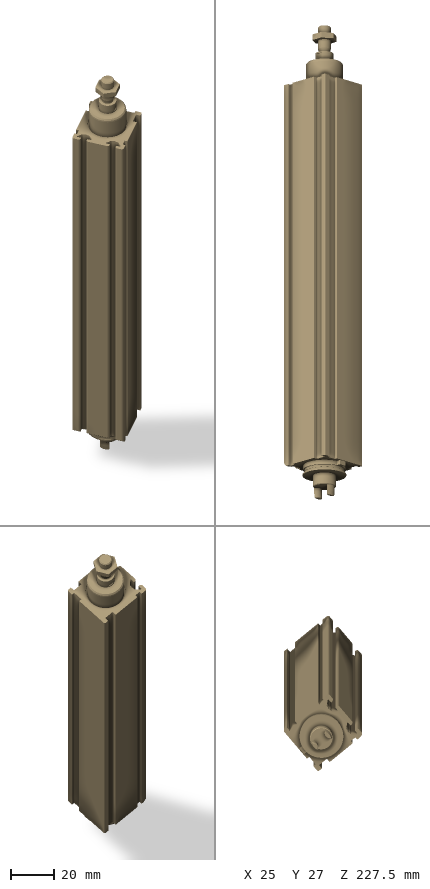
import cadquery as cq
import math


TOTAL_HEIGHT = 227.5
COUPLING_SHOULDER_Z = 4.8
COUPLING_TOP_Z = 10.2
RETAINER_TOP_Z = 11.8
FLANGE_RIM_BOTTOM_Z = 13.0
HOUSING_BOTTOM_Z = 15.0
HOUSING_TOP_Z = 199.5
CAP_TOP_Z = 209.8
ROD_SHOULDER_Z = 214.5
THREAD_BOTTOM_Z = 215.2
NUT_BOTTOM_Z = 220.7
NUT_HEIGHT = 2.7

HOUSING_WIDTH = 25.0
RAIL_HEIGHT = 2.0
BACK_Y = HOUSING_WIDTH / 2
FRONT_Y = -HOUSING_WIDTH / 2 - RAIL_HEIGHT
FRONT_EDGE_RADIUS = 1.0
BACK_EDGE_RADIUS = 0.61

SIDE_WIDE_GROOVE_Y = (5.5, 10.2)
SIDE_WIDE_GROOVE_DEPTH = 2.0
SIDE_NARROW_GROOVE_Y = (-11.1, -8.5)
SIDE_NARROW_GROOVE_DEPTH = 1.4
BACK_GROOVE_X = (4.5, 9.3)
BACK_GROOVE_DEPTH = 1.4

SLOT_CENTER_X = 7.0
SLOT_MOUTH_WIDTH = 3.0
SLOT_WIDTH = 7.0
SLOT_ROOF_WIDTH = 3.5
SLOT_LIP = 1.5
SLOT_WALL = 0.5
SLOT_DEPTH = 4.0
SLOT_CREASE_WIDTH = 1.4
SLOT_CREASE_DEPTH = 0.2

CAP_DIAMETER = 17.3
CAP_BEVEL_HEIGHT = 0.7
CAP_LOWER_BEVEL_WIDTH = 0.2
CAP_UPPER_BEVEL_WIDTH = 0.5
CAP_SEAT_DEPTH = 4.5
CAP_SEAT_Z = HOUSING_TOP_Z - CAP_SEAT_DEPTH
CAP_GAP_DIAMETER = 18.5
CAP_GAP_DEPTH = 1.0
WIPER_DIAMETER = 8.6
WIPER_DEPTH = 1.0

ROD_DIAMETER = 8.2
ROD_COLLAR_HEIGHT = 0.7
ROD_FLATS = 7.3
ROD_FLAT_LENGTH = 3.9
NECK_DIAMETER = 5.2
THREAD_DIAMETER = 6.0
THREAD_CHAMFER = 0.5
THREAD_RUNOUT = 1.4
NUT_SIDES = 6
NUT_FLATS = 10.0
NUT_BEVEL_DIAMETER = 10.5
NUT_BEVEL_HEIGHT = 0.11

FLANGE_DIAMETER = 19.8
HUB_DIAMETER = 18.7
TAB_WIDTH = 3.5
TAB_REACH_Y = 11.8
RETAINER_DIAMETER = 20.2
RETAINER_CHAMFER = 1.0

COUPLING_DIAMETER = 10.7
COUPLING_CHAMFER = 0.35
CLAW_DIAMETER = 9.8
CLAW_GAP = 5.5
CLAW_ROUND = 5.2
CLAW_TAPER = 0.2
CLAW_TAPER_HEIGHT = 2.0
CLAW_TIP_CHAMFER = 0.35


def cylinder(diameter, bottom, top):
    return cq.Workplane("XY").workplane(offset=bottom).circle(diameter / 2).extrude(top - bottom)


def block(x_range, y_range, z_range):
    """Box between the given lower and upper limits on each axis."""
    size = [high - low for low, high in (x_range, y_range, z_range)]
    corner = (x_range[0], y_range[0], z_range[0])
    return cq.Workplane("XY").box(*size, centered=False).translate(corner)


def side_groove(side, y_range, depth):
    """Full-length groove in the left (side = -1) or right (side = 1) face."""
    wall = side * HOUSING_WIDTH / 2
    floor = wall - side * depth
    return block((min(wall, floor), max(wall, floor)), y_range, (HOUSING_BOTTOM_Z, HOUSING_TOP_Z))


def sensor_slot(center_x):
    """Full-length T-slot with sloped shoulders and a shallow crease in its roof, open on the front."""
    lip_y = FRONT_Y + SLOT_LIP
    wall_y = lip_y + SLOT_WALL
    roof_y = FRONT_Y + SLOT_DEPTH
    half_mouth = SLOT_MOUTH_WIDTH / 2
    half_slot = SLOT_WIDTH / 2
    half_roof = SLOT_ROOF_WIDTH / 2
    half_crease = SLOT_CREASE_WIDTH / 2
    crease_y = roof_y + SLOT_CREASE_DEPTH
    left_half = [
        (-half_mouth, FRONT_Y),
        (-half_mouth, lip_y),
        (-half_slot, lip_y),
        (-half_slot, wall_y),
        (-half_roof, roof_y),
        (-half_crease, roof_y),
        (-half_crease, crease_y),
    ]
    right_half = [(-x, y) for x, y in reversed(left_half)]
    slot = cq.Workplane("XY").workplane(offset=HOUSING_BOTTOM_Z).center(center_x, 0)
    return slot.polyline(left_half + right_half).close().extrude(HOUSING_TOP_Z - HOUSING_BOTTOM_Z)


def front_bevel():
    """Wedge that slants the lower end of the slotted side."""
    return (
        cq.Workplane("YZ")
        .polyline([
            (FRONT_Y, HOUSING_BOTTOM_Z),
            (FRONT_Y + RAIL_HEIGHT, HOUSING_BOTTOM_Z),
            (FRONT_Y, HOUSING_BOTTOM_Z + RAIL_HEIGHT),
        ])
        .close().extrude(HOUSING_WIDTH / 2, both=True)
    )


def make_housing():
    half_width = HOUSING_WIDTH / 2
    housing = block((-half_width, half_width), (FRONT_Y, BACK_Y), (HOUSING_BOTTOM_Z, HOUSING_TOP_Z))
    for side in (-1, 1):
        housing = housing.cut(side_groove(side, SIDE_WIDE_GROOVE_Y, SIDE_WIDE_GROOVE_DEPTH))
        housing = housing.cut(side_groove(side, SIDE_NARROW_GROOVE_Y, SIDE_NARROW_GROOVE_DEPTH))
        housing = housing.cut(sensor_slot(side * SLOT_CENTER_X))

    housing = housing.edges("|Z and <Y").fillet(FRONT_EDGE_RADIUS)
    housing = housing.edges("|Z and >Y").fillet(BACK_EDGE_RADIUS)
    housing = housing.cut(front_bevel())
    housing = housing.cut(
        block(BACK_GROOVE_X, (BACK_Y - BACK_GROOVE_DEPTH, BACK_Y), (HOUSING_BOTTOM_Z, HOUSING_TOP_Z))
    )

    housing = housing.cut(cylinder(CAP_DIAMETER, CAP_SEAT_Z, HOUSING_TOP_Z))
    return housing.cut(cylinder(CAP_GAP_DIAMETER, HOUSING_TOP_Z - CAP_GAP_DEPTH, HOUSING_TOP_Z))


def make_bearing_cap():
    cap = cylinder(CAP_DIAMETER, CAP_SEAT_Z, CAP_TOP_Z)
    cap = cap.faces(">Z").chamfer(2 * CAP_BEVEL_HEIGHT, CAP_LOWER_BEVEL_WIDTH)
    cap = cap.faces(">Z").chamfer(CAP_BEVEL_HEIGHT, CAP_UPPER_BEVEL_WIDTH)
    cap = cap.cut(cylinder(ROD_DIAMETER, CAP_SEAT_Z, CAP_TOP_Z))
    return cap.cut(cylinder(WIPER_DIAMETER, CAP_TOP_Z - WIPER_DEPTH, CAP_TOP_Z))


def make_piston_rod():
    rod = cylinder(ROD_DIAMETER, CAP_SEAT_Z, ROD_SHOULDER_Z)

    flat_top = ROD_SHOULDER_Z - ROD_COLLAR_HEIGHT
    flat_bottom = flat_top - ROD_FLAT_LENGTH
    between_flats = block(
        (-ROD_FLATS / 2, ROD_FLATS / 2), (-ROD_DIAMETER, ROD_DIAMETER), (flat_bottom, flat_top)
    )
    rod = rod.cut(cylinder(ROD_DIAMETER, flat_bottom, flat_top).cut(between_flats))

    thread = cylinder(THREAD_DIAMETER, THREAD_BOTTOM_Z, TOTAL_HEIGHT)
    thread = thread.faces(">Z").chamfer(THREAD_CHAMFER)
    thread = thread.faces("<Z").chamfer(THREAD_RUNOUT, (THREAD_DIAMETER - NECK_DIAMETER) / 2)
    neck = cylinder(NECK_DIAMETER, ROD_SHOULDER_Z, THREAD_BOTTOM_Z)
    return rod.union(neck).union(thread)


def make_hex_nut():
    nut_top = NUT_BOTTOM_Z + NUT_HEIGHT
    half_side_angle = 360 / NUT_SIDES / 2
    corner_diameter = NUT_FLATS / math.cos(math.radians(half_side_angle))
    nut = (
        cq.Workplane("XY").workplane(offset=NUT_BOTTOM_Z)
        .polygon(NUT_SIDES, corner_diameter).extrude(NUT_HEIGHT)
        .rotate((0, 0, 0), (0, 0, 1), half_side_angle)
    )

    reach = (corner_diameter - NUT_BEVEL_DIAMETER) / 2
    envelope = cylinder(corner_diameter, NUT_BOTTOM_Z, nut_top)
    envelope = envelope.faces("<Z or >Z").chamfer(NUT_BEVEL_HEIGHT, reach)
    nut = nut.intersect(envelope)
    return nut.cut(cylinder(THREAD_DIAMETER, NUT_BOTTOM_Z, nut_top))


def make_end_flange():
    flange = cylinder(FLANGE_DIAMETER, FLANGE_RIM_BOTTOM_Z, HOUSING_BOTTOM_Z)
    hub = cylinder(HUB_DIAMETER, RETAINER_TOP_Z, FLANGE_RIM_BOTTOM_Z)
    tab = block((-TAB_WIDTH / 2, TAB_WIDTH / 2), (0, TAB_REACH_Y), (FLANGE_RIM_BOTTOM_Z, HOUSING_BOTTOM_Z))
    return flange.union(hub).union(tab)


def make_retaining_ring():
    ring = cylinder(RETAINER_DIAMETER, COUPLING_TOP_Z, RETAINER_TOP_Z)
    return ring.faces(">Z").chamfer(RETAINER_CHAMFER)


def make_coupling():
    coupling = cylinder(COUPLING_DIAMETER, COUPLING_SHOULDER_Z, COUPLING_TOP_Z)
    coupling = coupling.faces("<Z").chamfer(COUPLING_CHAMFER)

    envelope = cylinder(CLAW_DIAMETER, 0, COUPLING_SHOULDER_Z)
    envelope = envelope.faces("<Z").chamfer(CLAW_TAPER_HEIGHT, CLAW_TAPER)
    claw_round = cylinder(CLAW_ROUND, 0, COUPLING_SHOULDER_Z).faces("<Z").chamfer(CLAW_TIP_CHAMFER)
    claw_offset = (CLAW_GAP + CLAW_ROUND) / 2
    for side in (-1, 1):
        coupling = coupling.union(envelope.intersect(claw_round.translate((0, side * claw_offset, 0))))
    return coupling


housing = make_housing()
bearing_cap = make_bearing_cap()
piston_rod = make_piston_rod()
hex_nut = make_hex_nut()
end_flange = make_end_flange()
retaining_ring = make_retaining_ring()
coupling = make_coupling()

result = cq.Compound.makeCompound([
    housing.val(),
    bearing_cap.val(),
    piston_rod.val(),
    hex_nut.val(),
    end_flange.val(),
    retaining_ring.val(),
    coupling.val(),
])